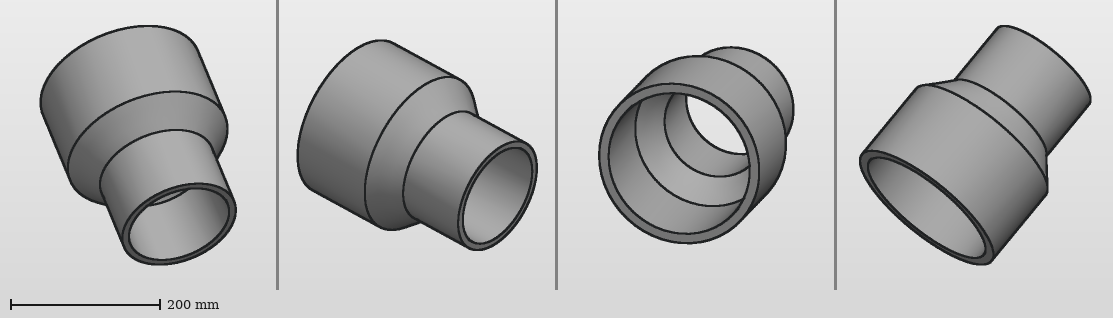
import cadquery as cq

large_outer_diameter = 225.0
large_bore_diameter = 198.2
small_outer_diameter = 160.0
small_bore_diameter = 141.0

large_length = 120.0
cone_length = 40.0
total_length = 258.0

cone_start = large_length
cone_end = large_length + cone_length


def stepped_cone_body(large_diameter, small_diameter):
    """Solid of revolution about X: large cylinder, cone, small cylinder."""
    large_radius = large_diameter / 2
    small_radius = small_diameter / 2
    return (
        cq.Workplane("XY")
        .moveTo(0, 0)
        .lineTo(0, large_radius)
        .lineTo(cone_start, large_radius)
        .lineTo(cone_end, small_radius)
        .lineTo(total_length, small_radius)
        .lineTo(total_length, 0)
        .close()
        .revolve(360, (0, 0, 0), (1, 0, 0))
    )


outer_body = stepped_cone_body(large_outer_diameter, small_outer_diameter)
bore = stepped_cone_body(large_bore_diameter, small_bore_diameter)

result = outer_body.cut(bore)